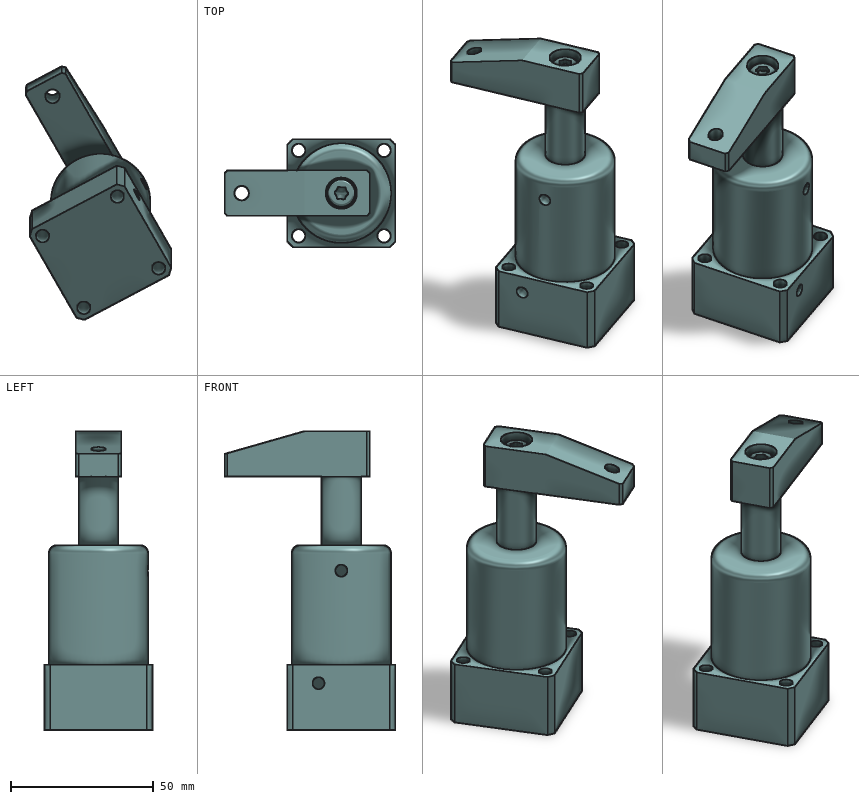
import cadquery as cq
import math

base_width = 38.0
base_height = 23.0
base_chamfer = 2.0
barrel_diameter = 35.0
housing_height = 65.0
barrel_round = 3.0

mount_hole_diameter = 4.6
mount_hole_pitch = 30.0

port_diameter = 4.2
port_depth = 8.0
barrel_port = (0.0, 56.0)
base_port = (-8.0, 16.5)

rod_diameter = 14.0
rod_bottom = base_height
rod_top = 89.0

arm_width = 16.0
arm_height = 16.0
arm_tip_height = 8.0
arm_tip_x = -41.0
arm_heel_x = 10.0
arm_slope_start_x = -13.0
arm_chamfer = 1.0
arm_top = rod_top + arm_height
tip_hole_diameter = 5.0
tip_hole_x = -35.0
counterbore_diameter = 11.0

screw_diameter = 6.0
screw_head_diameter = 10.0
screw_head_height = 6.0
screw_head_round = 1.0
screw_rim_diameter = 9.6
screw_head_recess = 2.3
screw_thread_in_rod = 12.0
socket_lobes = 6
socket_tip_diameter = 4.8
socket_root_diameter = 4.0
socket_lobe_radius = 0.6
socket_depth = 1.8
socket_turn = -5.0
socket_cone_angle = 140.0

screw_head_top = arm_top - screw_head_recess
screw_seat = screw_head_top - screw_head_height
screw_bottom = rod_top - screw_thread_in_rod


def cylinder(diameter, bottom, top, x=0.0):
    """Vertical cylinder between two heights, on the line y = 0."""
    return (
        cq.Workplane("XY", origin=(x, 0, bottom))
        .circle(diameter / 2)
        .extrude(top - bottom)
    )


def port(position, face_y):
    """Cutter for a blind port entering in +Y from the face at face_y."""
    x, z = position
    return (
        cq.Workplane("XZ", origin=(x, face_y, z))
        .circle(port_diameter / 2)
        .extrude(-port_depth)
    )


def make_housing():
    base = (
        cq.Workplane("XY")
        .rect(base_width, base_width)
        .extrude(base_height)
        .edges("|Z")
        .chamfer(base_chamfer)
    )
    mount_holes = (
        cq.Workplane("XY")
        .rect(mount_hole_pitch, mount_hole_pitch, forConstruction=True)
        .vertices()
        .circle(mount_hole_diameter / 2)
        .extrude(base_height)
    )
    barrel = cylinder(barrel_diameter, 0, housing_height).faces(">Z").edges().fillet(barrel_round)
    return (
        base.cut(mount_holes)
        .union(barrel)
        .cut(cylinder(rod_diameter, rod_bottom, housing_height))
        .cut(port(barrel_port, -barrel_diameter / 2))
        .cut(port(base_port, -base_width / 2))
    )


def make_rod():
    rod = cylinder(rod_diameter, rod_bottom, rod_top)
    return rod.cut(cylinder(screw_diameter, screw_bottom, rod_top))


def make_arm():
    side_profile = [
        (arm_tip_x, rod_top),
        (arm_heel_x, rod_top),
        (arm_heel_x, arm_top),
        (arm_slope_start_x, arm_top),
        (arm_tip_x, rod_top + arm_tip_height),
    ]
    return (
        cq.Workplane("XZ")
        .polyline(side_profile)
        .close()
        .extrude(arm_width / 2, both=True)
        .edges("|Z")
        .chamfer(arm_chamfer)
        .cut(cylinder(tip_hole_diameter, rod_top, arm_top, tip_hole_x))
        .cut(cylinder(screw_diameter, rod_top, arm_top))
        .cut(cylinder(counterbore_diameter, screw_seat, arm_top))
    )


def polar_point(radius, angle):
    return cq.Vector(radius * math.cos(angle), radius * math.sin(angle), 0)


def lobed_socket():
    """Cutter with round lobes joined by tangent inward arcs, above a conical floor."""
    half_step = math.pi / socket_lobes
    tip_radius = socket_tip_diameter / 2
    root_radius = socket_root_diameter / 2
    lobe_centre = tip_radius - socket_lobe_radius

    lobe_reach = lobe_centre * math.cos(half_step)
    inward_radius = (
        root_radius**2 + lobe_centre**2 - socket_lobe_radius**2 - 2 * root_radius * lobe_reach
    ) / (2 * (socket_lobe_radius + lobe_reach - root_radius))

    def tangent_point(lobe_angle, side):
        """Where a lobe meets the inward arc before it (side -1) or after it (side 1)."""
        centre = polar_point(lobe_centre, lobe_angle)
        inward_centre = polar_point(root_radius + inward_radius, lobe_angle + side * half_step)
        return centre + (inward_centre - centre).normalized() * socket_lobe_radius

    cone_height = tip_radius / math.tan(math.radians(socket_cone_angle / 2))
    cone_bottom = screw_head_top - socket_depth - cone_height
    outline = cq.Workplane("XY", origin=(0, 0, cone_bottom)).moveTo(*tangent_point(0, -1).toTuple()[:2])
    for lobe in range(socket_lobes):
        angle = 2 * half_step * lobe
        corners = [
            polar_point(tip_radius, angle),
            tangent_point(angle, 1),
            polar_point(root_radius, angle + half_step),
            tangent_point(angle + 2 * half_step, -1),
        ]
        tip, lobe_end, root, next_lobe_start = [(p.x, p.y) for p in corners]
        outline = outline.threePointArc(tip, lobe_end).threePointArc(root, next_lobe_start)
    lobes = outline.close().extrude(screw_head_top - cone_bottom)

    drilled_blank = (
        cq.Workplane("XZ")
        .moveTo(0, cone_bottom)
        .lineTo(tip_radius, screw_head_top - socket_depth)
        .lineTo(tip_radius, screw_head_top)
        .lineTo(0, screw_head_top)
        .close()
        .revolve(360, (0, 0), (0, 1))
    )
    return lobes.intersect(drilled_blank).rotate((0, 0, 0), (0, 0, 1), socket_turn)


def make_screw():
    rim = cylinder(screw_rim_diameter, screw_seat, screw_head_top)
    rim = rim.faces(">Z").edges().fillet(screw_head_round)
    head = cylinder(screw_head_diameter, screw_seat, screw_head_top - screw_head_round).union(rim)
    shank = cylinder(screw_diameter, screw_bottom, screw_seat)

    return head.union(shank).cut(lobed_socket())


housing = make_housing()
rod = make_rod()
arm = make_arm()
screw = make_screw()

result = cq.Compound.makeCompound([housing.val(), rod.val(), arm.val(), screw.val()])